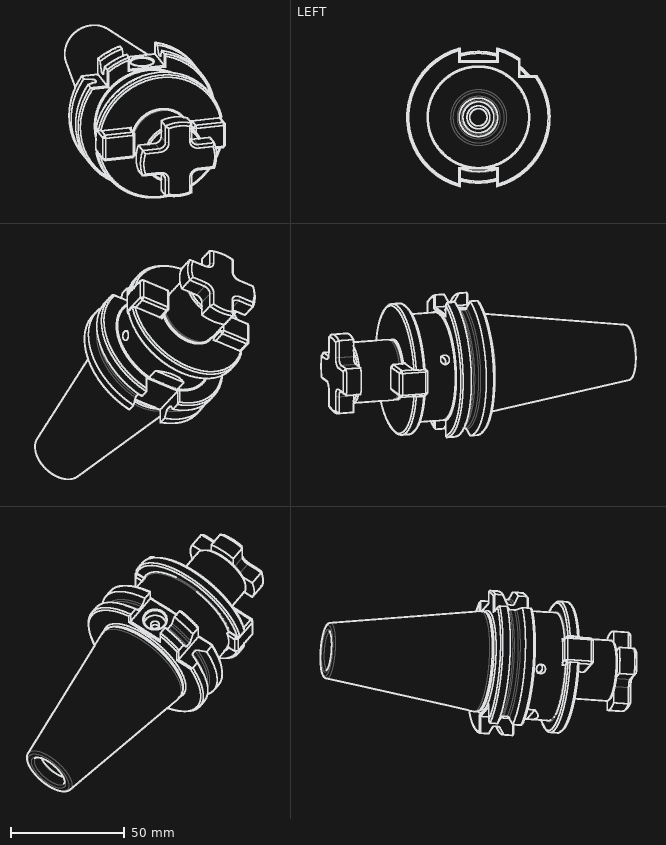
import cadquery as cq
import math


TAPER_END = 68.7
SHOULDER_END = 70.1
GRIP_BACK = 71.7
GRIP_FRONT = 87.5
COLLAR_BACK = 103.2
COLLAR_FRONT = 108.3
SPIGOT_END = 129.4
SCREW_END = 137.4

GAUGE_RADIUS = 22.3
TAPER_SLOPE = 7 / 48
SMALL_END_RADIUS = GAUGE_RADIUS - TAPER_SLOPE * TAPER_END
SMALL_END_ROUND = 1.1
RELIEF_DEPTH = 0.4
RELIEF_END = 70.9
SHANK_ROOT_RADIUS = 22.7

GRIP_DIAMETER = 63.3
GRIP_RADIUS = GRIP_DIAMETER / 2
GRIP_CHAMFER = 0.8
GROOVE_RADIUS = 28.2
GROOVE_CENTRE = 79.4
GROOVE_FLOOR = 2.9
GROOVE_FLANK_ANGLE = 30
GROOVE_ROUND = 1.0

SLOT_WIDTH = 16.2
TOP_SLOT_FLOOR = 25.0
BOTTOM_SLOT_FLOOR = 22.8
SLOT_EDGE_CHAMFER = 0.5
NOTCH_CORNER = 18.3
RUNOUT_START = 93.2
RUNOUT_END = 96.2

CHIP_RADIUS = 5.0
CHIP_DEPTH = 4.5
CHIP_CHAMFER = 0.4
CHIP_DRILL_RADIUS = 1.9
CHIP_DRILL_DEPTH = 3.0

NECK_DIAMETER = 48.0
NECK_RADIUS = NECK_DIAMETER / 2
COLLAR_RADIUS = 29.1
COLLAR_CHAMFER = 0.8
NECK_ROUND = 0.4
SPIGOT_RADIUS = 13.5
SPIGOT_CHAMFER = 0.7
UNDERCUT_START = 108.8
UNDERCUT_RAMP = 109.4
UNDERCUT_END = 110.3
UNDERCUT_DEPTH = 0.3

NECK_HOLE_STATION = 92.2
NECK_HOLE_RADIUS = 2.0
NECK_HOLE_DEPTH = 6.0
NECK_HOLE_ANGLE = 20.5

MOUTH_RADIUS = 8.5
MOUTH_ROUND = 1.0
MOUTH_DEPTH = 5.6
STEP_RADIUS = 7.7
STEP_END = 7.5
SEAT_RADIUS = 6.9
SEAT_START = 8.9
SCREW_RADIUS = 5.1

KEY_BACK = 101.8
KEY_FRONT = 114.9
KEY_WIDTH = 12.1
KEY_OUTER = 28.3
KEY_CHAMFER = 1.1

SCREW_TIP = 90.7
SCREW_TIP_CHAMFER = 1.2
HEAD_RADIUS = 17.6
LUG_WIDTH = 12.1
LUG_ROOT_ROUND = 2.9
HEAD_CHAMFER = 1.2

DRILL_POINT_HALF_ANGLE = 59
CLEARANCE = 6.9


def revolve_about_x(points):
    """Solid of revolution from (station, radius) points; the outline closes itself."""
    return cq.Workplane("XZ").polyline(points).close().revolve(360, (0, 0, 0), (1, 0, 0))


def disc(start, end, radius):
    """Cylinder about the X axis between two stations."""
    return revolve_about_x([(start, 0), (start, radius), (end, radius), (end, 0)])


def drill(radius, depth):
    """Drill cutter along -Z with its mouth at the origin, a conical point and a reach above the mouth."""
    point = radius / math.tan(math.radians(DRILL_POINT_HALF_ANGLE))
    outline = [(0, CLEARANCE), (radius, CLEARANCE), (radius, -depth), (0, -depth - point)]
    return cq.Workplane("XZ").polyline(outline).close().revolve(360, (0, 0, 0), (0, 1, 0))


def make_shank():
    relief = GAUGE_RADIUS - RELIEF_DEPTH
    shank = revolve_about_x([
        (0, 0),
        (0, SMALL_END_RADIUS),
        (TAPER_END, GAUGE_RADIUS),
        (SHOULDER_END, GAUGE_RADIUS),
        (RELIEF_END, relief),
        (GRIP_BACK, SHANK_ROOT_RADIUS),
        (GRIP_BACK, 0),
    ])
    return shank.faces("<X").edges().fillet(SMALL_END_ROUND)


def make_grip_flange():
    flange = disc(GRIP_BACK, GRIP_FRONT, GRIP_RADIUS).edges("%CIRCLE").chamfer(GRIP_CHAMFER)
    flare = math.tan(math.radians(GROOVE_FLANK_ANGLE))
    rim = GRIP_RADIUS + CLEARANCE
    half_floor = GROOVE_FLOOR / 2
    half_rim = half_floor + (rim - GROOVE_RADIUS) * flare
    groove = (
        revolve_about_x([
            (GROOVE_CENTRE - half_rim, rim),
            (GROOVE_CENTRE - half_floor, GROOVE_RADIUS),
            (GROOVE_CENTRE + half_floor, GROOVE_RADIUS),
            (GROOVE_CENTRE + half_rim, rim),
        ])
        .edges(cq.selectors.RadiusNthSelector(0))
        .fillet(GROOVE_ROUND)
    )
    return flange.cut(groove)


def make_front_end():
    """Neck, contact collar and spigot."""
    neck = disc(GRIP_FRONT, COLLAR_BACK, NECK_RADIUS)
    collar = disc(COLLAR_BACK, COLLAR_FRONT, COLLAR_RADIUS).edges("%CIRCLE").chamfer(COLLAR_CHAMFER)
    undercut_radius = SPIGOT_RADIUS - UNDERCUT_DEPTH
    spigot = revolve_about_x([
        (COLLAR_FRONT, 0),
        (COLLAR_FRONT, SPIGOT_RADIUS),
        (UNDERCUT_START, undercut_radius),
        (UNDERCUT_RAMP, undercut_radius),
        (UNDERCUT_END, SPIGOT_RADIUS),
        (SPIGOT_END - SPIGOT_CHAMFER, SPIGOT_RADIUS),
        (SPIGOT_END, SPIGOT_RADIUS - SPIGOT_CHAMFER),
        (SPIGOT_END, 0),
    ])
    return neck.union(collar).union(spigot)


def round_neck_roots(body):
    """Small fillets where the neck meets the gripper flange and the collar."""
    neck_circles = body.edges("%CIRCLE").filter(lambda edge: math.isclose(edge.radius(), NECK_RADIUS))
    return neck_circles.fillet(NECK_ROUND)


def flange_slot_cutter(y_min, y_max, z_min, z_max):
    """Slot through the gripper flange whose edges are chamfered on both flange faces."""
    width, height = y_max - y_min, z_max - z_min
    middle = ((y_min + y_max) / 2, (z_min + z_max) / 2)
    length = GRIP_FRONT - GRIP_BACK
    cutter = (
        cq.Workplane("YZ", origin=(GRIP_BACK, 0, 0)).center(*middle).rect(width, height).extrude(length)
    )
    for station, direction in ((GRIP_BACK, 1), (GRIP_FRONT, -1)):
        flare = (
            cq.Workplane("YZ", origin=(station, 0, 0))
            .center(*middle)
            .rect(width + 2 * SLOT_EDGE_CHAMFER, height + 2 * SLOT_EDGE_CHAMFER)
            .workplane(offset=direction * SLOT_EDGE_CHAMFER)
            .rect(width, height)
            .loft()
        )
        cutter = cutter.union(flare)
    return cutter


def cut_flange_slots(body):
    half = SLOT_WIDTH / 2
    reach = GRIP_RADIUS + CLEARANCE
    body = body.cut(flange_slot_cutter(-half, half, TOP_SLOT_FLOOR, reach))
    body = body.cut(flange_slot_cutter(-reach, -NOTCH_CORNER, NOTCH_CORNER, reach))

    body = body.cut(flange_slot_cutter(-half, half, -reach, -BOTTOM_SLOT_FLOOR))

    runout = (
        cq.Workplane("XZ")
        .polyline([
            (GRIP_BACK, -BOTTOM_SLOT_FLOOR),
            (RUNOUT_START, -BOTTOM_SLOT_FLOOR),
            (RUNOUT_END, -NECK_RADIUS),
            (RUNOUT_END, -reach),
            (GRIP_BACK, -reach),
        ])
        .close()
        .extrude(half, both=True)
    )
    return body.cut(runout)


def cut_chip_hole(body):
    pocket = cq.Workplane("XY").circle(CHIP_RADIUS).extrude(-CHIP_DEPTH)
    mouth = (
        cq.Workplane("XY")
        .circle(CHIP_RADIUS + CHIP_CHAMFER)
        .workplane(offset=-CHIP_CHAMFER)
        .circle(CHIP_RADIUS)
        .loft()
    )
    pilot = drill(CHIP_DRILL_RADIUS, CHIP_DRILL_DEPTH).translate((0, 0, -CHIP_DEPTH))
    cutter = pocket.union(mouth).union(pilot)
    return body.cut(cutter.translate((GROOVE_CENTRE, 0, TOP_SLOT_FLOOR)))


def cut_neck_holes(body):
    """Two opposite radial holes, a little below the axis in front and above it behind."""
    hole = drill(NECK_HOLE_RADIUS, NECK_HOLE_DEPTH).translate((NECK_HOLE_STATION, 0, NECK_RADIUS))
    for turn in (90, 270):
        body = body.cut(hole.rotate((0, 0, 0), (1, 0, 0), turn + NECK_HOLE_ANGLE))
    return body


def cut_bore(body):
    """Stepped bore, narrowing from the rounded mouth to the screw hole that runs through to the spigot."""
    seat_end = SEAT_START + (SEAT_RADIUS - SCREW_RADIUS) / math.tan(math.radians(DRILL_POINT_HALF_ANGLE))
    bore = revolve_about_x([
        (0, 0),
        (0, MOUTH_RADIUS),
        (MOUTH_DEPTH, MOUTH_RADIUS),
        (STEP_END, STEP_RADIUS),
        (SEAT_START, SEAT_RADIUS),
        (seat_end, SCREW_RADIUS),
        (SPIGOT_END, SCREW_RADIUS),
        (SPIGOT_END, 0),
    ])
    body = body.cut(bore)
    return body.faces("<X").edges(cq.selectors.RadiusNthSelector(0)).fillet(MOUTH_ROUND)


def cut_key_seats(body):
    depth = COLLAR_RADIUS + CLEARANCE - SPIGOT_RADIUS
    seat = cq.Workplane("XY").box(
        COLLAR_FRONT - KEY_BACK, depth, KEY_WIDTH, centered=(False, False, True)
    ).translate((KEY_BACK, SPIGOT_RADIUS, 0))
    for turn in (0, 180):
        body = body.cut(seat.rotate((0, 0, 0), (1, 0, 0), turn))
    return body


def make_arbor():
    body = make_shank().union(make_grip_flange()).union(make_front_end())
    body = round_neck_roots(body)
    body = cut_flange_slots(body)
    body = cut_chip_hole(body)
    body = cut_key_seats(body)
    body = cut_neck_holes(body)
    return cut_bore(body)


def make_key(turn):
    key = (
        cq.Workplane("XY")
        .box(KEY_FRONT - KEY_BACK, KEY_OUTER - SPIGOT_RADIUS, KEY_WIDTH, centered=(False, False, True))
        .translate((KEY_BACK, SPIGOT_RADIUS, 0))
        .edges()
        .chamfer(KEY_CHAMFER)
    )
    return key.rotate((0, 0, 0), (1, 0, 0), turn)


def make_retaining_screw():
    length = SCREW_END - SPIGOT_END
    head_plane = cq.Workplane("YZ", origin=(SPIGOT_END, 0, 0))
    cross = (
        head_plane.rect(2 * HEAD_RADIUS, LUG_WIDTH).extrude(length)
        .union(head_plane.rect(LUG_WIDTH, 2 * HEAD_RADIUS).extrude(length))
    )
    half_lug = LUG_WIDTH / 2
    inner_corners = cq.selectors.BoxSelector(
        (SPIGOT_END, -half_lug - 0.1, -half_lug - 0.1), (SCREW_END, half_lug + 0.1, half_lug + 0.1)
    )
    head = (
        cross.edges("|X").edges(inner_corners).fillet(LUG_ROOT_ROUND)
        .intersect(head_plane.circle(HEAD_RADIUS).extrude(length))
        .faces(">X").edges().chamfer(HEAD_CHAMFER)
    )
    shank = (
        cq.Workplane("YZ", origin=(SCREW_TIP, 0, 0))
        .circle(SCREW_RADIUS)
        .extrude(SPIGOT_END - SCREW_TIP)
        .faces("<X").edges().chamfer(SCREW_TIP_CHAMFER)
    )
    return head.union(shank)


arbor = make_arbor()
keys = [make_key(turn) for turn in (0, 180)]
retaining_screw = make_retaining_screw()

result = cq.Compound.makeCompound([
    arbor.val(),
    *[key.val() for key in keys],
    retaining_screw.val(),
])